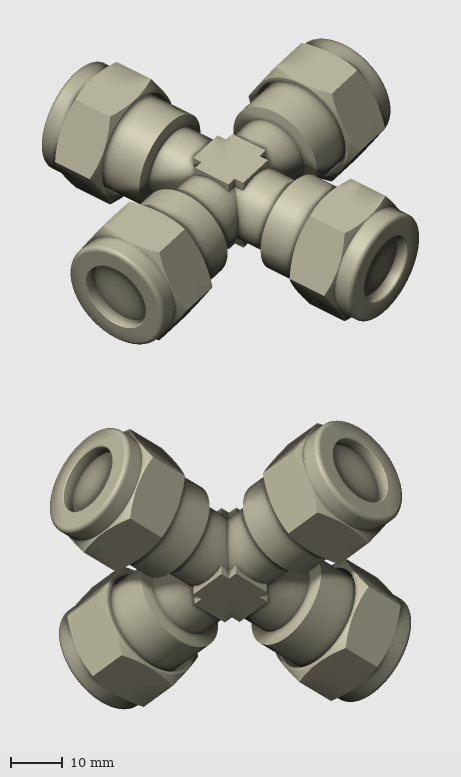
import cadquery as cq
import math

reach = 37.25
arm_angles = (0, 90, 180, 270)

pipe_diameter = 15.0
collar_diameter = 20.0
collar_start = 13.85
collar_cone_angle = 15

nut_across_flats = 23.0
nut_across_corners = nut_across_flats / math.cos(math.radians(30))
nut_start = 22.8
nut_end = 33.3
nut_length = nut_end - nut_start
nut_chamfer_angle = 30
nut_inner_face_diameter = 22.7
nut_outer_face_diameter = 22.7

cap_diameter = 22.65
cap_fillet = 0.9
bore_diameter = 14.0
bore_depth = 2.5
bore_chamfer = 0.2

mouth_diameter = 21.5
mouth_depth = 4.0

pad_length = 12.0
pad_width = 8.0
pad_height = 17.0


def cylinder_along_x(diameter, start, end):
    return cq.Workplane("YZ").workplane(offset=start).circle(diameter / 2).extrude(end - start)


def chamfered_nut():
    """Hexagon with flats facing +Z and -Z, its corners turned down to a cone at each end."""
    hexagon = (
        cq.Workplane("YZ")
        .workplane(offset=nut_start)
        .polygon(6, nut_across_corners)
        .extrude(nut_length)
    )
    corner_radius = nut_across_corners / 2
    inner_radius = nut_inner_face_diameter / 2
    outer_radius = nut_outer_face_diameter / 2
    slope = math.tan(math.radians(nut_chamfer_angle))
    turned_blank = (
        cq.Workplane("XY")
        .moveTo(nut_start, 0)
        .lineTo(nut_start, inner_radius)
        .lineTo(nut_start + (corner_radius - inner_radius) * slope, corner_radius)
        .lineTo(nut_end - (corner_radius - outer_radius) * slope, corner_radius)
        .lineTo(nut_end, outer_radius)
        .lineTo(nut_end, 0)
        .close()
        .revolve(360, (0, 0, 0), (1, 0, 0))
    )
    return hexagon.intersect(turned_blank)


def tapered_collar():
    """Collar that opens from the pipe with a shallow cone and ends at the floor of the nut mouth."""
    pipe_radius = pipe_diameter / 2
    collar_radius = collar_diameter / 2
    collar_end = nut_start + mouth_depth
    cone_length = (collar_radius - pipe_radius) * math.tan(math.radians(collar_cone_angle))
    return (
        cq.Workplane("XY")
        .moveTo(collar_start, 0)
        .lineTo(collar_start, pipe_radius)
        .lineTo(collar_start + cone_length, collar_radius)
        .lineTo(collar_end, collar_radius)
        .lineTo(collar_end, 0)
        .close()
        .revolve(360, (0, 0, 0), (1, 0, 0))
    )


def arm():
    """One arm along +X: pipe, collar, nut and cap."""
    pipe = cylinder_along_x(pipe_diameter, 0, collar_start)
    collar = tapered_collar()
    cap = cylinder_along_x(cap_diameter, nut_end, reach).faces(">X").edges().fillet(cap_fillet)
    bore = cylinder_along_x(bore_diameter, reach - bore_depth, reach)
    mouth = cylinder_along_x(mouth_diameter, nut_start, nut_start + mouth_depth)
    nut = chamfered_nut().cut(mouth)
    solid_arm = pipe.union(collar).union(nut).union(cap)
    bored_arm = solid_arm.cut(bore)
    bore_rim = cq.selectors.RadiusNthSelector(0)
    return bored_arm.faces(">X").edges(bore_rim).chamfer(bore_chamfer)


def centre_pad():
    bar_x = cq.Workplane("XY").box(pad_length, pad_width, pad_height)
    bar_y = cq.Workplane("XY").box(pad_width, pad_length, pad_height)
    return bar_x.union(bar_y)


single_arm = arm()
result = centre_pad()
for angle in arm_angles:
    result = result.union(single_arm.rotate((0, 0, 0), (0, 0, 1), angle))